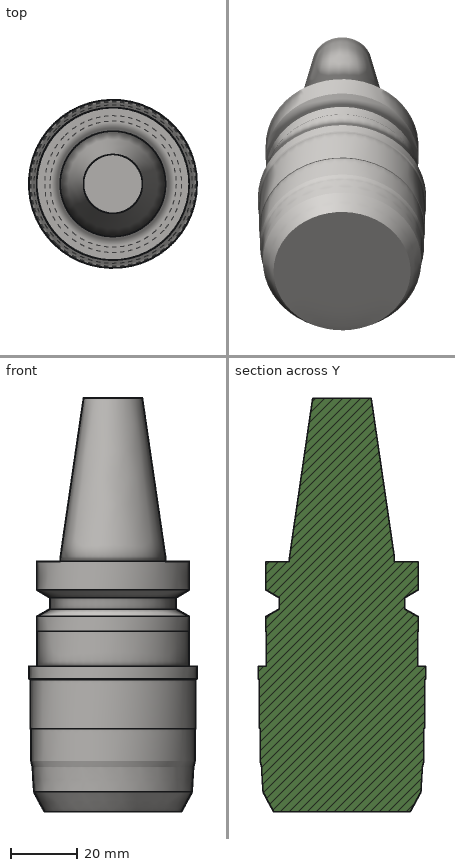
import cadquery as cq

total_height = 124.6
nose_top = 6.0
nut_taper_top = 13.5
nut_bevel_top = 15.3
nut_top = 25.0
sleeve_top = 39.7
collar_top = 43.9
neck_top = 54.3
groove_bottom = 58.8
groove_floor_bottom = 61.0
groove_floor_top = 64.4
groove_top = 66.8
flange_top = 75.4
taper_base = 76.5

nose_diameter = 41.2
nose_top_diameter = 47.7
nut_taper_diameter = 48.6
nut_diameter = 49.5
sleeve_diameter = 50.0
collar_diameter = 50.7
neck_diameter = 45.9
flange_diameter = 46.0
groove_diameter = 38.0
taper_diameter = 31.8

taper_ratio = 7 / 24
taper_tip_diameter = taper_diameter - taper_ratio * (total_height - taper_base)

collar_bevel = (collar_diameter - sleeve_diameter) / 2

profile = [
    (nose_diameter, 0),
    (nose_top_diameter, nose_top),
    (nut_taper_diameter, nut_taper_top),
    (nut_diameter, nut_bevel_top),
    (nut_diameter, nut_top),
    (sleeve_diameter, nut_top),
    (sleeve_diameter, sleeve_top),
    (collar_diameter, sleeve_top + collar_bevel),
    (collar_diameter, collar_top),
    (neck_diameter, collar_top),
    (neck_diameter, neck_top),
    (flange_diameter, neck_top),
    (flange_diameter, groove_bottom),
    (groove_diameter, groove_floor_bottom),
    (groove_diameter, groove_floor_top),
    (flange_diameter, groove_top),
    (flange_diameter, flange_top),
    (taper_diameter, flange_top),
    (taper_diameter, taper_base),
    (taper_tip_diameter, total_height),
]

outline = cq.Workplane("XZ").moveTo(0, 0)
for diameter, height in profile:
    outline = outline.lineTo(diameter / 2, height)
outline = outline.lineTo(0, total_height).close()

result = outline.revolve(360, (0, 0, 0), (0, 1, 0))